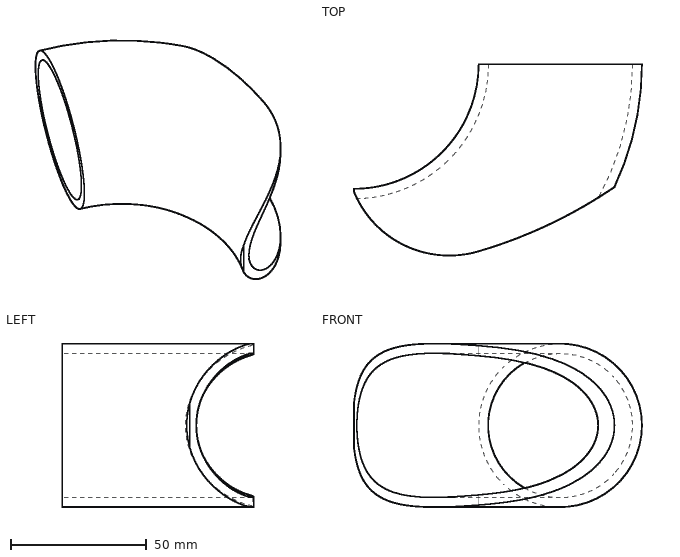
import cadquery as cq
import math

outside_radius = 106.2
pipe_diameter = 60.3
wall = 3.6
bend_radius = outside_radius - pipe_diameter / 2
inside_radius = outside_radius - pipe_diameter
bend_angle = 90

tight_radius = bend_radius / 2
tight_center_x = 35.1
tight_center_y = -32.6
flat_radius = 178.3
seam_x = inside_radius

clearance = 10.6


def pipe_bend():
    """Hollow quarter bend of constant wall thickness."""
    ring = (
        cq.Workplane("XZ")
        .center(bend_radius, 0)
        .circle(pipe_diameter / 2)
        .circle(pipe_diameter / 2 - wall)
    )
    return ring.revolve(bend_angle, (-bend_radius, 1.1, 0), (-bend_radius, 0, 0))


def point_on_arc(center, radius, angle):
    """Point at the given angle, measured from the +X direction."""
    return (
        center[0] + radius * math.cos(angle),
        center[1] + radius * math.sin(angle),
    )


def kept_side_of_trim():
    """Block covering the part of the bend that remains above the saddle trim."""
    tight_center = (tight_center_x, tight_center_y)
    start_angle = -math.pi + math.acos(tight_center_x / tight_radius)
    seam_angle = -math.acos((seam_x - tight_center_x) / tight_radius)
    start = point_on_arc(tight_center, tight_radius, start_angle)
    tight_middle = point_on_arc(tight_center, tight_radius, (start_angle + seam_angle) / 2)
    seam = point_on_arc(tight_center, tight_radius, seam_angle)

    flat_center = point_on_arc(tight_center, tight_radius - flat_radius, seam_angle)
    end_x = outside_radius + clearance
    end_angle = -math.acos((end_x - flat_center[0]) / flat_radius)
    flat_middle = point_on_arc(flat_center, flat_radius, (seam_angle + end_angle) / 2)
    end = point_on_arc(flat_center, flat_radius, end_angle)

    return (
        cq.Workplane("XY")
        .moveTo(-clearance, clearance)
        .lineTo(-clearance, start[1])
        .lineTo(*start)
        .threePointArc(tight_middle, seam)
        .threePointArc(flat_middle, end)
        .lineTo(end_x, clearance)
        .close()
        .extrude(pipe_diameter / 2 + clearance, both=True)
    )


result = pipe_bend().intersect(kept_side_of_trim())